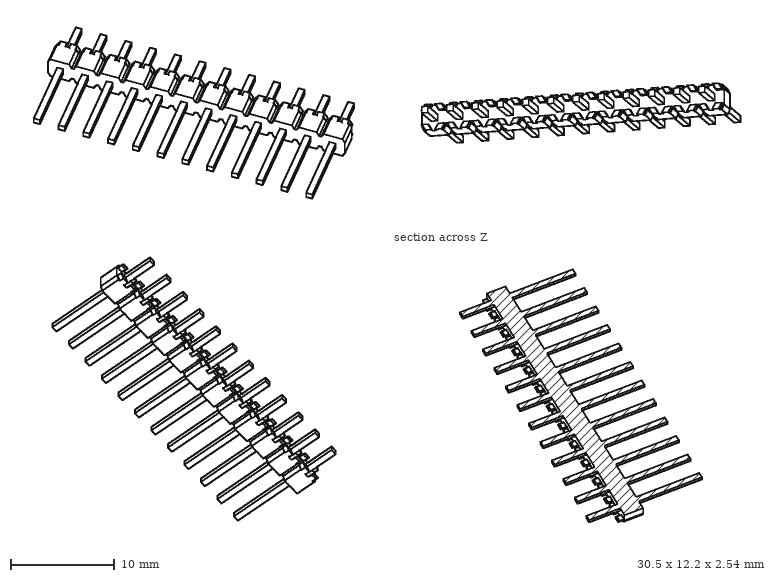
import cadquery as cq

pin_count = 12
pitch = 2.54
row_length = pin_count * pitch
pin_width = 0.64
pin_length = 12.15
pin_front_y = -6.78

body_height = 2.54
body_front_y = 0.0
body_depth = 2.03
body_back_y = body_front_y + body_depth
bevel_width = 0.245
bevel_depth = 0.49
notch_floor_width = 0.23

foot_length = 0.47
foot_height = 0.57
foot_inner_x = 0.19
foot_width = 0.645
foot_lean = 0.335

half_height = body_height / 2
half_row = row_length / 2
pin_centers = [(i - (pin_count - 1) / 2) * pitch for i in range(pin_count)]
notch_centers = [(i - pin_count / 2) * pitch for i in range(1, pin_count)]


def extrude_along_y(points, start_y, length):
    """Extrude a closed outline of (x, z) points from start_y toward +Y."""
    plane = cq.Workplane("XZ", origin=(0, start_y, 0))
    return plane.polyline(points).close().extrude(-length)


def make_body():
    shoulder_z = half_height - bevel_depth
    body = extrude_along_y(
        [
            (-half_row, -shoulder_z),
            (-half_row, shoulder_z),
            (-half_row + bevel_width, half_height),
            (half_row - bevel_width, half_height),
            (half_row, shoulder_z),
            (half_row, -shoulder_z),
            (half_row - bevel_width, -half_height),
            (-half_row + bevel_width, -half_height),
        ],
        body_front_y,
        body_depth,
    )
    floor_half = notch_floor_width / 2
    mouth_half = floor_half + bevel_width
    for x in notch_centers:
        for side in (-1, 1):
            notch = extrude_along_y(
                [
                    (x - mouth_half, side * half_height),
                    (x - floor_half, side * shoulder_z),
                    (x + floor_half, side * shoulder_z),
                    (x + mouth_half, side * half_height),
                ],
                body_front_y,
                body_depth,
            )
            body = body.cut(notch)
    return body


def make_foot(center_x, x_side, z_side):
    base_z = half_height - foot_height
    outline = [
        (foot_inner_x, half_height),
        (foot_inner_x + foot_width, half_height),
        (foot_inner_x + foot_width + foot_lean, base_z),
        (foot_inner_x + foot_lean, base_z),
    ]
    placed = [(center_x + x_side * x, z_side * z) for x, z in outline]
    return extrude_along_y(placed, body_back_y, foot_length)


def make_pin(center_x):
    plane = cq.Workplane("XZ", origin=(center_x, pin_front_y, 0))
    return plane.rect(pin_width, pin_width).extrude(-pin_length)


result = make_body()
for pin_x in pin_centers:
    result = result.union(make_pin(pin_x))
    for x_side in (-1, 1):
        for z_side in (-1, 1):
            result = result.union(make_foot(pin_x, x_side, z_side))